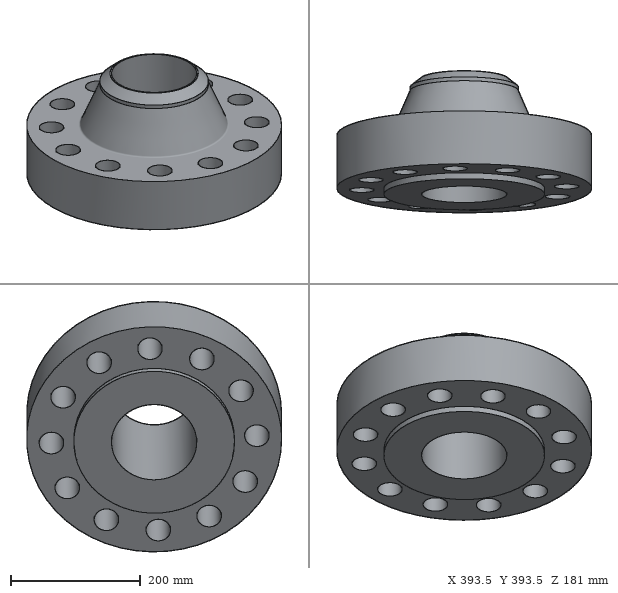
import cadquery as cq

flange_diameter = 393.5
flange_thickness = 83.0

face_diameter = 248.0
face_height = 9.5

total_height = 181.0
hub_diameter = 228.3
neck_diameter = 167.5
weld_tip_diameter = 136.0
bore_diameter = 131.5
bevel_height = 13.0
neck_straight_height = 6.0
hub_fillet_radius = 3.0

bolt_count = 12
bolt_circle_diameter = 317.2
bolt_hole_diameter = 37.8

flange_bottom = face_height
flange_top = flange_bottom + flange_thickness
bevel_start = total_height - bevel_height
taper_end = bevel_start - neck_straight_height


def revolved_body():
    """Solid of revolution: sealing face, ring, tapered hub and bevelled weld end."""
    profile = (
        cq.Workplane("XZ")
        .moveTo(bore_diameter / 2, 0)
        .lineTo(face_diameter / 2, 0)
        .lineTo(face_diameter / 2, flange_bottom)
        .lineTo(flange_diameter / 2, flange_bottom)
        .lineTo(flange_diameter / 2, flange_top)
        .lineTo(hub_diameter / 2, flange_top)
        .lineTo(neck_diameter / 2, taper_end)
        .lineTo(neck_diameter / 2, bevel_start)
        .lineTo(weld_tip_diameter / 2, total_height)
        .lineTo(bore_diameter / 2, total_height)
        .close()
    )
    return profile.revolve(360, (0, 0, 0), (0, 1, 0))


def fillet_hub_root(body):
    """Round the inside corner where the tapered hub meets the ring."""
    ring_top = body.faces("|Z").faces(">Z[-2]")
    root_edge = ring_top.edges("%CIRCLE").edges(cq.selectors.RadiusNthSelector(0))
    return root_edge.fillet(hub_fillet_radius)


def bolt_holes():
    """Through holes equally spaced on the bolt circle, one of them on +X."""
    return (
        cq.Workplane("XY")
        .workplane(offset=flange_bottom)
        .polarArray(bolt_circle_diameter / 2, 0, 360, bolt_count)
        .circle(bolt_hole_diameter / 2)
        .extrude(flange_thickness)
    )


result = fillet_hub_root(revolved_body()).cut(bolt_holes())